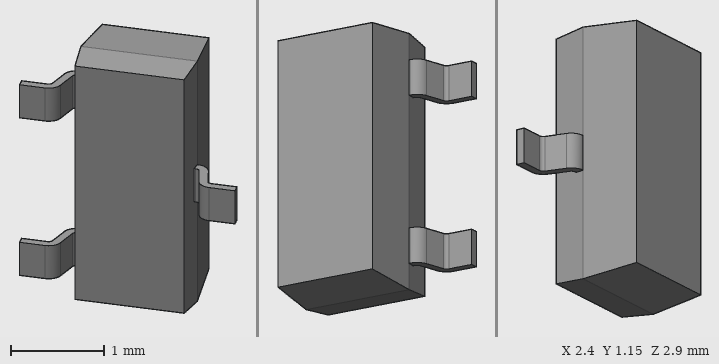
import cadquery as cq
import math

body_width = 1.3
body_length = 2.9
top_y = 1.15
parting_y = 0.485
top_inset = 0.055
bottom_inset = 0.04

lead_span = 2.4
lead_thickness = 0.1
lead_width = 0.4
foot_length = 0.287
inner_radius = 0.05
bend_angle = math.radians(75)
lead_offset = 0.95

bottom_y = lead_thickness
outer_radius = inner_radius + lead_thickness


def housing_half(end_y, inset):
    """Solid that tapers from the parting plane to a smaller face at end_y."""
    return (
        cq.Workplane("XZ", origin=(0, parting_y, 0))
        .rect(body_width, body_length)
        .workplane(offset=parting_y - end_y)
        .rect(body_width - 2 * inset, body_length - 2 * inset)
        .loft(ruled=True, combine=True)
    )


def make_housing():
    upper_half = housing_half(top_y, top_inset)
    lower_half = housing_half(bottom_y, bottom_inset)
    return upper_half.union(lower_half)


def on_circle(center, radius, angle):
    """Point on a circle, with the angle measured from +X."""
    return (center[0] + radius * math.cos(angle), center[1] + radius * math.sin(angle))


def make_lead(housing, z_center):
    """Gull-wing lead on the -X side, ending flush against the housing wall."""
    tip_x = -lead_span / 2
    root_x = -body_width / 2 + bottom_inset
    slope_sin = math.sin(bend_angle)
    slope_cos = math.cos(bend_angle)

    bend_radii = inner_radius + outer_radius
    rise = parting_y - lead_thickness
    slope_length = (rise - bend_radii * (1 - slope_cos)) / slope_sin
    run = bend_radii * slope_sin + slope_length * slope_cos

    foot_bend = (tip_x + foot_length, outer_radius)
    root_bend = (foot_bend[0] + run, parting_y - outer_radius)

    foot_start = -math.pi / 2
    foot_middle = foot_start + bend_angle / 2
    foot_end = foot_start + bend_angle
    root_start = math.pi / 2
    root_middle = root_start + bend_angle / 2
    root_end = root_start + bend_angle

    profile = (
        cq.Workplane("XY")
        .moveTo(tip_x, 0)
        .lineTo(foot_bend[0], 0)
        .threePointArc(
            on_circle(foot_bend, outer_radius, foot_middle),
            on_circle(foot_bend, outer_radius, foot_end),
        )
        .lineTo(*on_circle(root_bend, inner_radius, root_end))
        .threePointArc(
            on_circle(root_bend, inner_radius, root_middle),
            on_circle(root_bend, inner_radius, root_start),
        )
        .lineTo(root_x, parting_y - lead_thickness)
        .lineTo(root_x, parting_y)
        .lineTo(root_bend[0], parting_y)
        .threePointArc(
            on_circle(root_bend, outer_radius, root_middle),
            on_circle(root_bend, outer_radius, root_end),
        )
        .lineTo(*on_circle(foot_bend, inner_radius, foot_end))
        .threePointArc(
            on_circle(foot_bend, inner_radius, foot_middle),
            on_circle(foot_bend, inner_radius, foot_start),
        )
        .lineTo(tip_x, lead_thickness)
        .close()
    )
    strip = profile.extrude(lead_width / 2, both=True).translate((0, 0, z_center))
    return strip.cut(housing)


housing = make_housing()
paired_leads = [make_lead(housing, z) for z in (-lead_offset, lead_offset)]
single_lead = make_lead(housing, 0).mirror("YZ")
leads = paired_leads + [single_lead]

result = cq.Compound.makeCompound([housing.val(), *[lead.val().Solids()[0] for lead in leads]])